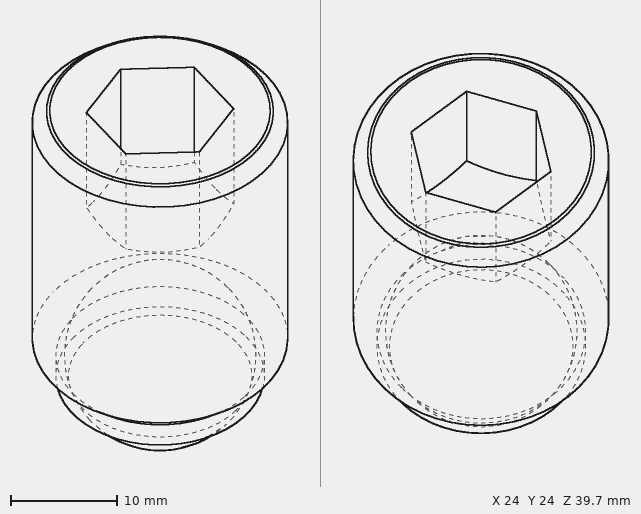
import cadquery as cq
import math

total_height = 39.7
body_diameter = 24.0
body_radius = body_diameter / 2

top_chamfer_width = 1.35
top_chamfer_height = 1.35
end_face_radius = 10.35
end_face_step = 0.1

collar_radius = 9.8
collar_bottom = 6.4
collar_height = 2.55
lower_chamfer = body_radius - collar_radius

socket_flats = 12.0
socket_depth = 11.9
drill_point_angle = 120.0

ball_radius = 9.0


def make_ball():
    """Thrust ball, tangent to the plane z = 0."""
    return cq.Workplane("XY").sphere(ball_radius).translate((0, 0, ball_radius))


def make_socket():
    """Hexagon socket with corners on the X axis and a conical floor."""
    corner_radius = socket_flats / math.sqrt(3)
    cone_depth = corner_radius / math.tan(math.radians(drill_point_angle / 2))
    floor = total_height - socket_depth
    hexagon = (
        cq.Workplane("XY", origin=(0, 0, floor))
        .polygon(6, 2 * corner_radius)
        .extrude(socket_depth)
    )
    cone = cq.Workplane(cq.Solid.makeCone(
        corner_radius, 0, cone_depth, pnt=cq.Vector(0, 0, floor), dir=cq.Vector(0, 0, -1)
    ))
    hexagon_below = (
        cq.Workplane("XY", origin=(0, 0, floor - cone_depth))
        .polygon(6, 2 * corner_radius)
        .extrude(cone_depth)
    )
    return hexagon.union(cone.intersect(hexagon_below))


def make_screw(ball):
    """Turned screw body with its hexagon socket and the ball seat."""
    collar_top = collar_bottom + collar_height
    shoulder = total_height - end_face_step
    profile = [
        (0, collar_bottom),
        (collar_radius, collar_bottom),
        (collar_radius, collar_top),
        (body_radius, collar_top + lower_chamfer),
        (body_radius, shoulder - top_chamfer_height),
        (body_radius - top_chamfer_width, shoulder),
        (end_face_radius, total_height),
        (0, total_height),
    ]
    blank = cq.Workplane("XZ").polyline(profile).close().revolve(360, (0, 0, 0), (0, 1, 0))
    return blank.cut(make_socket()).cut(ball)


ball = make_ball()
screw = make_screw(ball)

result = cq.Compound.makeCompound([screw.val(), ball.val()])